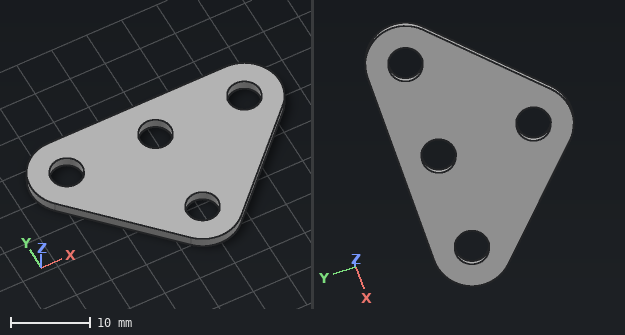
import cadquery as cq
import math

length = 35.57
thickness = 1.6
hole_pitch = 12.7
hole_diameter = 4.38

corner_radius = length / 2 - hole_pitch
left = (-hole_pitch, 0)
middle = (0, 0)
right = (hole_pitch, 0)
bottom = (0, -hole_pitch)


def around(center, angle):
    """Point on the corner arc about center, at angle in degrees from +X."""
    turn = math.radians(angle)
    return (
        center[0] + corner_radius * math.cos(turn),
        center[1] + corner_radius * math.sin(turn),
    )


outline = (
    cq.Workplane("XY")
    .moveTo(*around(left, 90))
    .lineTo(*around(right, 90))
    .threePointArc(around(right, 0), around(right, -45))
    .lineTo(*around(bottom, -45))
    .threePointArc(around(bottom, -90), around(bottom, -135))
    .lineTo(*around(left, -135))
    .threePointArc(around(left, 180), around(left, 90))
    .close()
)
plate = outline.extrude(thickness)

holes = (
    cq.Workplane("XY")
    .pushPoints([left, middle, right, bottom])
    .circle(hole_diameter / 2)
    .extrude(thickness)
)

result = plate.cut(holes)